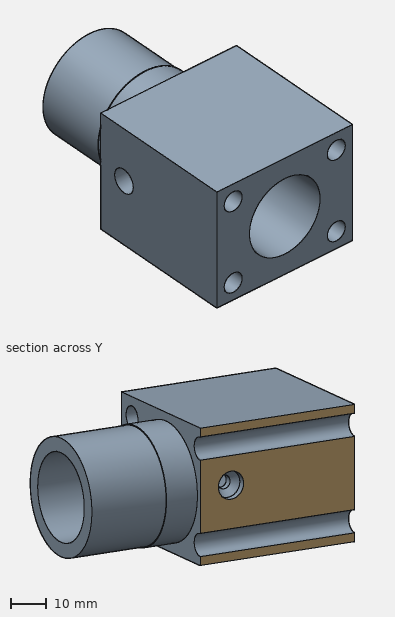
import cadquery as cq
import math

block_length = 50.0
block_width = 50.0
block_height = 40.0

collar_diameter = 35.0
collar_length = 10.0
spigot_diameter = 34.5
spigot_length = 24.0

bore_diameter = 26.0

mount_hole_diameter = 6.6
mount_spacing_y = 38.0
mount_spacing_z = 28.0

port_from_block_face = 10.0
port_height = 2.0
port_diameter = 8.0
port_depth = 8.0
port_tip_angle = 90.0
port_passage_diameter = 4.0

spigot_end = -(collar_length + spigot_length)
total_length = block_length - spigot_end


def cylinder_along_x(diameter, start, length):
    return cq.Workplane("YZ", origin=(start, 0, 0)).circle(diameter / 2).extrude(length)


def make_body():
    block = cq.Workplane("XY").box(
        block_length, block_width, block_height, centered=(False, True, True)
    )
    collar = cylinder_along_x(collar_diameter, -collar_length, collar_length)
    spigot = cylinder_along_x(spigot_diameter, spigot_end, spigot_length)
    return block.union(collar).union(spigot)


def make_mount_holes():
    return (
        cq.Workplane("YZ")
        .rect(mount_spacing_y, mount_spacing_z, forConstruction=True)
        .vertices()
        .circle(mount_hole_diameter / 2)
        .extrude(block_length)
    )


def make_side_port():
    port_radius = port_diameter / 2
    passage_radius = port_passage_diameter / 2
    cone_depth = (port_radius - passage_radius) / math.tan(math.radians(port_tip_angle / 2))
    depth_to_axis = block_width / 2
    return (
        cq.Workplane("XY", origin=(port_from_block_face, -block_width / 2, port_height))
        .lineTo(port_radius, 0)
        .lineTo(port_radius, port_depth)
        .lineTo(passage_radius, port_depth + cone_depth)
        .lineTo(passage_radius, depth_to_axis)
        .lineTo(0, depth_to_axis)
        .close()
        .revolve(360, (0, 0, 0), (0, 1, 0))
    )


result = (
    make_body()
    .cut(cylinder_along_x(bore_diameter, spigot_end, total_length))
    .cut(make_mount_holes())
    .cut(make_side_port())
)